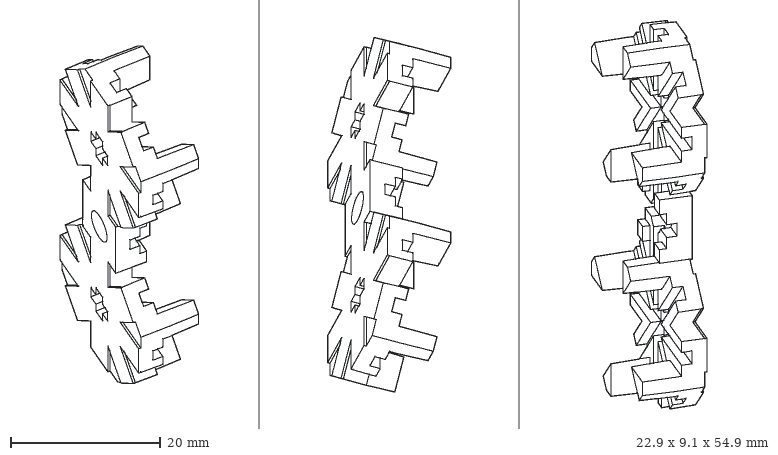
import cadquery as cq
import math

length = 54.85
hub_span = 22.9
total_depth = 9.1
parting_depth = 4.65
floor_depth = 3.6
groove_depth = 2.15
draft = 1.0
arm_width = 5.2
groove_width = 1.9
cross_length = 4.85
rib_width = 5.0
rib_height = 0.35
block_side = 9.65
hole_diameter = 4.5

hub_reach = hub_span / 2
hub_offset = (length - hub_span) / 2
claw_length = total_depth - parting_depth
arm_count = 8
arm_pitch = 360 / arm_count
claw_angles = [22.5, 112.5, 202.5, 292.5]
notch_angles = [angle + arm_pitch for angle in claw_angles]


def section(depth):
    """Workplane parallel to the plate face; positive extrusion runs towards the face."""
    return cq.Workplane("XZ", origin=(0, depth, 0))


def polar(radius, angle):
    """Point at a radius and an angle in degrees from +X towards +Z."""
    return (radius * math.cos(math.radians(angle)), radius * math.sin(math.radians(angle)))


def octagon_corner(angle):
    """Corner of the octagon at an angle in degrees."""
    return polar(hub_reach / math.cos(math.radians(arm_pitch / 2)), angle)


def wedge_points(angle):
    """Gap between two arms: apex, both arm corners and the octagon corner."""
    half_pitch = arm_pitch / 2
    apex_radius = arm_width / 2 / math.sin(math.radians(half_pitch))
    tip_radius = math.hypot(hub_reach, arm_width / 2)
    tip_angle = half_pitch - math.degrees(math.atan2(arm_width / 2, hub_reach))
    return [
        polar(apex_radius, angle),
        polar(tip_radius, angle - tip_angle),
        octagon_corner(angle),
        polar(tip_radius, angle + tip_angle),
    ]


def hub_outline():
    """Points round the octagon, with every second gap between arms left open."""
    points = []
    for claw_angle, notch_angle in zip(claw_angles, notch_angles):
        apex, first_tip, _, last_tip = wedge_points(notch_angle)
        points += [octagon_corner(claw_angle), first_tip, apex, last_tip]
    return points


def slot(width, depth, run, angle):
    """Straight slot through the hub centre, open towards +Y."""
    bar = section(depth).rect(run, width).extrude(depth - total_depth)
    return bar.rotate((0, 0, 0), (0, 1, 0), angle)


def make_hub():
    """Eight arms with ribs in front, crossing slots behind, and four claws."""
    plate = section(parting_depth).polyline(hub_outline()).close().extrude(parting_depth, taper=draft)
    around_ribs = section(rib_height).rect(length, length).extrude(rib_height)
    for index in range(arm_count // 2):
        angle = index * arm_pitch
        plate = plate.cut(slot(arm_width, floor_depth, length, angle))
        plate = plate.cut(slot(groove_width, groove_depth, length, angle))
        rib = section(rib_height).rect(length, rib_width).extrude(rib_height)
        around_ribs = around_ribs.cut(rib.rotate((0, 0, 0), (0, 1, 0), angle))
    plate = plate.cut(around_ribs)
    for angle in claw_angles:
        claw = section(parting_depth).polyline(wedge_points(angle)).close()
        plate = plate.union(claw.extrude(-claw_length, taper=draft))
    for run, width in [(cross_length, groove_width), (groove_width, cross_length)]:
        plate = plate.cut(section(parting_depth).rect(run, width).extrude(parting_depth))
    return plate


def make_centre_block():
    """Square block with crossing slots and a round hole, joining the hubs."""
    block = section(parting_depth).rect(block_side, block_side).extrude(parting_depth, taper=draft)
    for angle in (0, 90):
        block = block.cut(slot(arm_width, floor_depth, length, angle))
        block = block.cut(slot(groove_width, groove_depth, length, angle))
    return block.cut(section(parting_depth).circle(hole_diameter / 2).extrude(parting_depth))


hub = make_hub()
result = make_centre_block()
for side in (-1, 1):
    result = result.union(hub.translate((0, 0, side * hub_offset)))